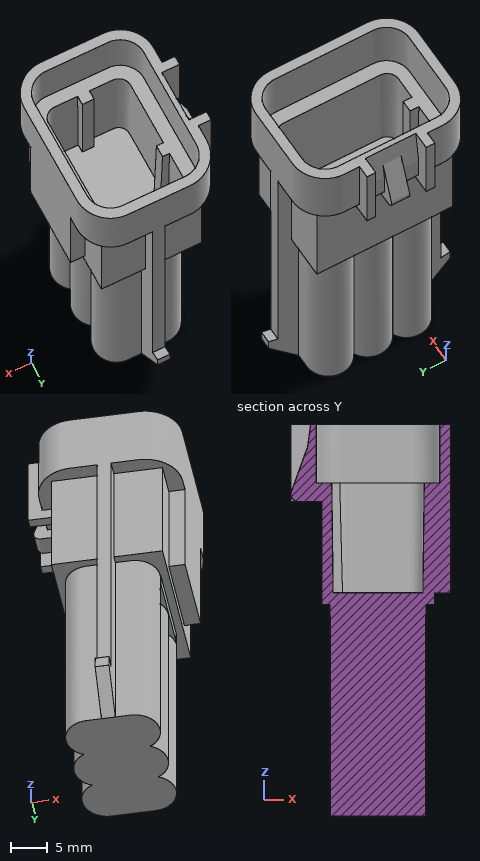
import cadquery as cq
import math

height = 53.6

collar_x = 19.95
collar_y = 26.0
collar_radius = 5.2
collar_bottom = 44.55
collar_wall = 1.55
collar_side = collar_x / 2

ledge_z = 45.55
pocket_x = 12.6
pocket_y = 19.05
pocket_radius = 1.8
pocket_floor = 30.55
pocket_draft = 0.7
key_width = 1.8
side_key_length = 1.05
side_key_y = 3.0
side_key_lead = 0.4
end_key_length = 1.4

block_x = 15.45
block_y = 21.7
block_bottom = 28.95
pad_width = 12.0
pad_bottom = 30.5
foot_x = 13.25
foot_bottom = 27.4

tube_radius = 3.5
tube_pitch = 6.2
tube_row_x = 3.05
tubes_end_y = tube_pitch + tube_radius

rib_thickness = 1.95
barb_span = 29.0
barb_tip_y = barb_span / 2
barb_tip_bottom = 5.3
barb_tip_top = 6.9
barb_root_top = 6.5

guard_x = -11.95
guard_inner_y = 4.0
guard_outer_y = 5.4
guard_bottom = 43.0
relief_depth = 0.75
relief_bottom = 47.9
latch_width = 2.9
latch_top = 50.75
latch_tip_x = -11.85
latch_tip_z = 44.4
latch_top_inset = 0.45


def box(x_range, y_range, z_range):
    """Axis-aligned box between the given limits."""
    size = [high - low for low, high in (x_range, y_range, z_range)]
    corner = (x_range[0], y_range[0], z_range[0])
    return cq.Workplane("XY").box(*size, centered=False).translate(corner)


def centred_box(x, y, bottom, top):
    """Box centred on the Z axis."""
    return box((-x / 2, x / 2), (-y / 2, y / 2), (bottom, top))


def rounded_prism(x, y, radius, bottom, top):
    """Upright prism with rounded vertical corners."""
    return centred_box(x, y, bottom, top).edges("|Z").fillet(radius)


def xz_prism(points, width):
    """Prism with an XZ outline, centred on Y = 0."""
    return cq.Workplane("XZ").polyline(points).close().extrude(width / 2, both=True)


def make_tubes():
    tubes = centred_box(2 * tube_row_x, 2 * tubes_end_y, 0, block_bottom)
    centres = [(sx * tube_row_x, n * tube_pitch) for sx in (-1, 1) for n in (-1, 0, 1)]
    for centre in centres:
        tubes = tubes.union(cq.Workplane("XY").center(*centre).circle(tube_radius).extrude(block_bottom))
    return tubes


def make_rib():
    half_outline = [
        (collar_y / 2, collar_bottom),
        (collar_y / 2, barb_root_top),
        (barb_tip_y, barb_tip_top),
        (barb_tip_y, barb_tip_bottom),
        (tubes_end_y, 0),
    ]
    mirrored = [(-y, z) for y, z in reversed(half_outline)]
    outline = cq.Workplane("YZ").polyline(half_outline + mirrored).close()
    return outline.extrude(rib_thickness / 2, both=True)


def make_opening():
    upper = rounded_prism(
        collar_x - 2 * collar_wall, collar_y - 2 * collar_wall, collar_radius - collar_wall, ledge_z, height
    )
    lower = (
        cq.Workplane("XY", origin=(0, 0, ledge_z))
        .sketch().rect(pocket_x, pocket_y).vertices().fillet(pocket_radius).finalize()
        .extrude(pocket_floor - ledge_z, taper=pocket_draft)
    )
    return upper.union(lower)


def make_side_key():
    wall = -block_x / 2
    face = -pocket_x / 2 + side_key_length
    outline = [(wall, ledge_z), (face, ledge_z), (face + side_key_lead, pocket_floor), (wall, pocket_floor)]
    return xz_prism(outline, key_width).translate((0, side_key_y, 0))


def make_end_key():
    wall = -block_y / 2
    return box(
        (-key_width / 2, key_width / 2),
        (wall, -pocket_y / 2 + end_key_length),
        (pocket_floor, ledge_z),
    )


def make_guard(side):
    limits = sorted((side * guard_inner_y, side * guard_outer_y))
    outside = box((guard_x, -collar_side + relief_depth), limits, (guard_bottom, height))
    below = box((guard_x, -block_x / 2), limits, (guard_bottom, collar_bottom))
    return outside.union(below)


def make_relief():
    outline = [
        (-collar_side, relief_bottom),
        (-collar_side + relief_depth, height),
        (-collar_side, height),
    ]
    return xz_prism(outline, 2 * guard_inner_y)


def make_latch():
    root_x = -collar_side + latch_top_inset
    lean = math.atan2(root_x - latch_tip_x, latch_top - latch_tip_z)
    nose_radius = (latch_tip_z - guard_bottom) / (1 + math.sin(lean))
    nose_end = latch_tip_x + nose_radius * math.cos(lean)
    start = -collar_side + relief_depth
    outline = (
        cq.Workplane("XZ")
        .moveTo(root_x, latch_top)
        .lineTo(latch_tip_x, latch_tip_z)
        .tangentArcPoint((nose_end, guard_bottom), relative=False)
        .lineTo(-block_x / 2, guard_bottom)
        .lineTo(-block_x / 2, collar_bottom)
        .lineTo(start, collar_bottom)
        .lineTo(start, latch_top)
        .close()
    )
    return outline.extrude(latch_width / 2, both=True)


collar = rounded_prism(collar_x, collar_y, collar_radius, collar_bottom, height)
block = centred_box(block_x, block_y, block_bottom, collar_bottom)
foot = centred_box(foot_x, pad_width, foot_bottom, block_bottom)
pad = box((0, collar_side), (-pad_width / 2, pad_width / 2), (pad_bottom, collar_bottom))

body = collar.union(block).union(foot).union(pad).union(make_tubes()).union(make_rib())
body = body.cut(make_relief()).cut(make_opening())
body = body.union(make_side_key()).union(make_end_key())
for side in (-1, 1):
    body = body.union(make_guard(side))
result = body.union(make_latch())